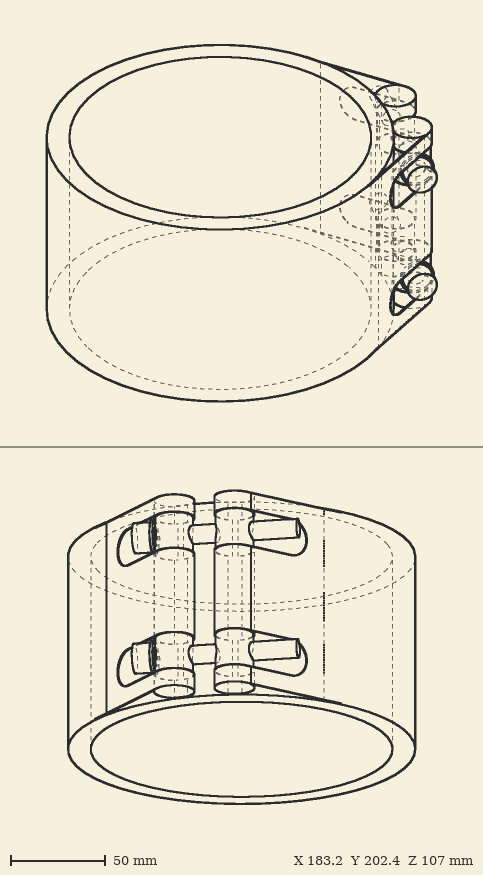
import cadquery as cq
import math

sleeve_outer_diameter = 183.2
sleeve_outer_radius = sleeve_outer_diameter / 2
sleeve_inner_radius = 79.5
sleeve_height = 107.0

pin_diameter = 20.0
pin_offset_x = 16.2
pin_centre_y = 100.2
strap_thickness = 0.6
strap_edge_margin = 0.5
strap_height = sleeve_height - 2 * strap_edge_margin
wrap_radius = pin_diameter / 2 + strap_thickness

slot_width = 20.0
slot_end_from_sleeve = 22.0

bolt_heights = (-33.4, 33.4)
shank_diameter = 10.0
shank_start_x = -50.4
head_diameter = 16.0
head_end_x = 37.5
washer_diameter = 18.0
washer_start_x = pin_offset_x + pin_diameter / 2
washer_thickness = 1.6

pin_distance = math.hypot(pin_offset_x, pin_centre_y)
radius_difference = sleeve_outer_radius - wrap_radius
pin_angle = math.atan2(pin_centre_y, -pin_offset_x)
normal_angle = pin_angle + math.acos(radius_difference / pin_distance)
span_length = math.sqrt(pin_distance**2 - radius_difference**2)
span_normal = cq.Vector(math.cos(normal_angle), math.sin(normal_angle), 0)
span_direction = cq.Vector(math.sin(normal_angle), -math.cos(normal_angle), 0)


def z_cylinder(radius, height, x=0, y=0):
    """Cylinder along Z, centred on the middle plane."""
    base = cq.Workplane("XY", origin=(x, y, -height / 2))
    return base.circle(radius).extrude(height)


def x_cylinder(diameter, start_x, end_x, z):
    """Cylinder along X on the bolt axis at height z."""
    plane = cq.Plane(origin=(start_x, pin_centre_y, z), xDir=(0, 1, 0), normal=(1, 0, 0))
    return cq.Workplane(plane).circle(diameter / 2).extrude(end_x - start_x)


def left_strap():
    """Flat span and wrap of the left strap end, with a slot at each bolt."""
    span_plane = cq.Plane(
        origin=(span_normal * sleeve_outer_radius).toTuple(),
        xDir=span_direction.toTuple(),
        normal=span_normal.toTuple(),
    )
    span = (
        cq.Workplane(span_plane)
        .center(span_length / 2, 0)
        .rect(span_length, strap_height)
        .extrude(-strap_thickness)
    )
    strap = span.union(z_cylinder(wrap_radius, strap_height, -pin_offset_x, pin_centre_y))

    slot_length = span_length + 2 * wrap_radius + slot_width - slot_end_from_sleeve
    slot_middle = slot_end_from_sleeve + slot_length / 2
    for z in bolt_heights:
        slot = (
            cq.Workplane(span_plane)
            .center(slot_middle, z)
            .slot2D(slot_length, slot_width)
            .extrude(2 * wrap_radius, both=True)
        )
        strap = strap.cut(slot)
    return strap


def bolt(z):
    """Shank, washer and round head of one bolt."""
    shank = x_cylinder(shank_diameter, shank_start_x, head_end_x, z)
    washer_end_x = washer_start_x + washer_thickness
    washer = x_cylinder(washer_diameter, washer_start_x, washer_end_x, z)
    head = x_cylinder(head_diameter, washer_end_x, head_end_x, z)
    return shank.union(washer).union(head)


strap = left_strap()
result = z_cylinder(sleeve_outer_radius, sleeve_height)
result = result.union(strap).union(strap.mirror("YZ"))
for side in (-1, 1):
    result = result.union(z_cylinder(pin_diameter / 2, strap_height, side * pin_offset_x, pin_centre_y))
for bolt_z in bolt_heights:
    result = result.union(bolt(bolt_z))

result = result.cut(z_cylinder(sleeve_inner_radius, sleeve_height))